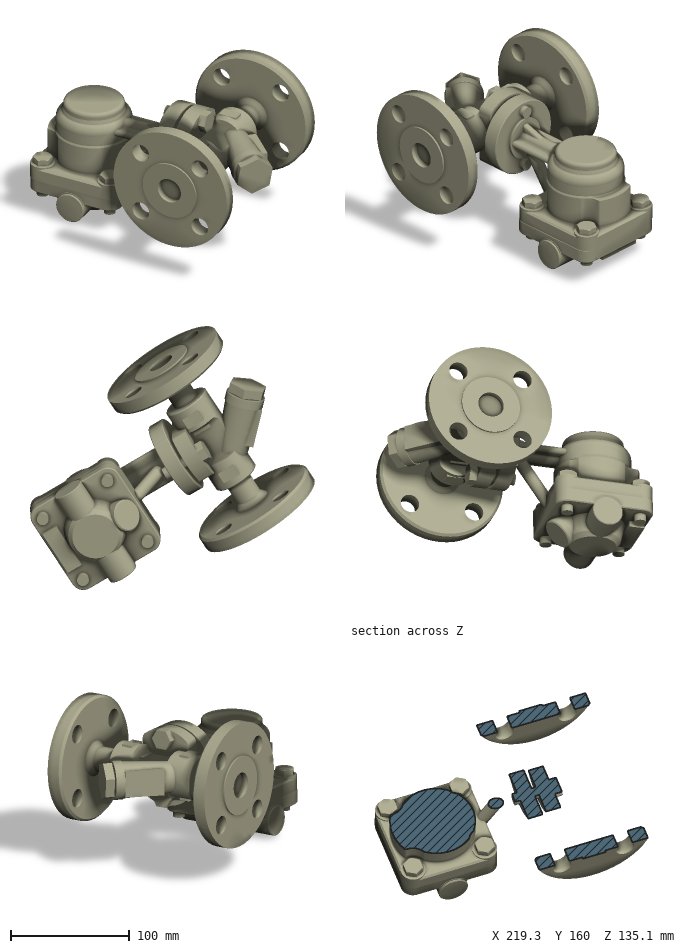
import cadquery as cq
import math


FACE_Y = 80.0
FLANGE_D = 108.0
FLANGE_THICKNESS = 13.0
FLANGE_CHAMFER = 2.0
RAISED_FACE_D = 50.8
RAISED_FACE_HEIGHT = 1.6
FLANGE_HOLE_D = 16.0
FLANGE_HOLE_OFFSET = 28.1
SOCKET_D = 22.2
SOCKET_DEPTH = 6.0
HUB_D = 30.8
HUB_LENGTH = 5.0
PIPE_D = 22.2

BODY_D = 39.0
BODY_HALF_LENGTH = 40.4
BODY_CHAMFER = 1.0
PAD_X = 16.0
PAD_Y = 10.0
PAD_CENTRE_Y = 28.4
PAD_CORNER = 1.0
PAD_RISE = 0.2
WAIST_HALF_Z = 9.8
WAIST_MAX_X = 17.0
WAIST_HALF_Y = 17.5
WAIST_FILLET = 5.5
WAIST_RIB_WIDTH = 2.8
WAIST_RIB_Y = -14.5
WAIST_RIB_RISE = 2.0

STRAINER_ANGLE = -45.0
STRAINER_ORIGIN_X = 27.4
STRAINER_START = -24.5
STRAINER_START_R = 13.4
COLLAR_START = 18.7
CONE_END_R = 15.8
COLLAR_R = 16.5
COLLAR_END = 26.4
PLUG_NECK_R = 12.5
PLUG_START = 27.5
PLUG_END = 35.2
PLUG_FLATS = 28.7
PLUG_TURN = 20.0
STRAINER_PAD_START = -14.8
STRAINER_PAD_WIDTH = 22.0
STRAINER_PAD_HEIGHT = 16.0

CONNECTOR_Y = -2.0
CONNECTOR_D = 67.0
CONNECTOR_X = (-40.0, -26.6)
GASKET_D = 35.0
ARM_COLLAR_X = -42.5
ARM_COLLAR_HALF_Z = 18.6
BODY_FLANGE_X = (-23.3, -10.0)
BODY_FLANGE_HALF_Y = 22.5
BODY_FLANGE_CORNER = 6.0
CONNECTOR_EDGE = 0.6
CONNECTOR_BOLT_Z = 25.5
CONNECTOR_BOLT_D = 10.0
CONNECTOR_BOLT_START_X = -44.5
CONNECTOR_HEAD_FLATS = 16.0
CONNECTOR_HEAD_END_X = -3.6

TRAP_X = -113.5
PLATE_SIZE = 85.0
PLATE_CORNER_R = 10.5
PLATE_TOP_Z = -36.7
PLATE_EDGE = 1.5
PLATE_BOTTOM_EDGE = 0.8
BOSS_TOP_Z = -35.4
SPLIT_Z = -48.8
PLATE_BOTTOM_Z = -60.4
BOLT_HEAD_FLATS = 15.0
HEAD_CHAMFER_DROP = 0.7
BOLT_HEAD_TOP_Z = -29.8
BOLT_END_D = 10.0
BOLT_END_Z = -66.6
TRAP_BODY_R = 33.2
TRAP_BODY_TOP_Z = -10.8
LOBE_R = 39.1
LOBE_HALF_WIDTH = 24.0
BOLT_CLEARANCE_R = 13.0
HOUSING_CORNER = 2.0
HOUSING_BASE_FILLET = 1.0
CAP_R = 32.3
CAP_LIP_Z = -9.1
CAP_TOP_Z = 17.9
CAP_SHOULDER_Z = 8.8
CAP_NECK_R = 26.0
CAP_NECK_FILLET = 3.2
CAP_SHOULDER_R = 27.5

COVER_Y = -1.4
BOWL_TOP_R = 26.8
BOWL_BOTTOM_R = 23.0
BOWL_BEND_Z = -75.0
BOWL_BOTTOM_Z = -79.0
BOWL_CORNER = 3.5
FOOT_WIDTH = 40.0
FOOT_BOTTOM_Z = -65.5
FOOT_X = (-39.5, -26.0)
PORT_D = 26.0
PORT_Z = -66.0
PORT_HALF_LENGTH = 44.5
PORT_EDGE = 0.6
PORT_COLLAR_D = 28.0
PORT_COLLAR_HALF_LENGTH = 43.0
NOSE_D = 27.0
NOSE_CHAMFER = 1.0
NOSE_FACE_X = -81.9
NOSE_FACE_Z = -72.23
NOSE_LENGTH = 25.0

ARM_TUBE_D = 15.2
ARM_WEB_WIDTH = 32.4
ARM_WEB_THICKNESS = 6.0
ARM_WEB_FILLET = 2.0
GUSSET_START_X = -62.5
GUSSET_TOP_Z = 14.7
GUSSET_WIDTH = 6.0
GUSSET_EDGE_R = 2.0
RETURN_PIPE_D = 10.8
RETURN_PIPE_ANGLE = 54.8
RETURN_PIPE_X = -69.2
RETURN_PIPE_Z = -36.0
RETURN_PIPE_UP = 32.0
RETURN_PIPE_DOWN = 28.0


def x_cylinder(diameter, start_x, end_x, y=CONNECTOR_Y, z=0.0):
    return cq.Workplane("YZ", origin=(start_x, y, z)).circle(diameter / 2).extrude(end_x - start_x)


def y_cylinder(diameter, half_length, x=0.0, z=0.0):
    return cq.Workplane("XZ", origin=(x, 0, z)).circle(diameter / 2).extrude(half_length, both=True)


def hex_corners(flats):
    """Diameter over the corners of a hexagon, from its size over the flats."""
    return flats / math.cos(math.radians(30))


def hex_head(flats, height):
    """Hexagon standing on the XY plane, its top corners turned down, with corners along Y."""
    corners = hex_corners(flats)
    head = cq.Workplane("XY").polygon(6, corners).extrude(height).rotate((0, 0, 0), (0, 0, 1), 90)
    turned = cq.Workplane("XY").circle(corners / 2).extrude(height)
    turned = turned.faces(">Z").chamfer(HEAD_CHAMFER_DROP, (corners - flats) / 2)
    return head.intersect(turned)


def pipeline_end():
    """Pipe and socket flange on the +Y side of the body."""
    back_y = FACE_Y - RAISED_FACE_HEIGHT - FLANGE_THICKNESS
    front_y = FACE_Y - RAISED_FACE_HEIGHT
    rim = FLANGE_D / 2
    half = (
        cq.Workplane("XY")
        .moveTo(0, BODY_HALF_LENGTH)
        .lineTo(PIPE_D / 2, BODY_HALF_LENGTH)
        .lineTo(PIPE_D / 2, back_y - HUB_LENGTH)
        .lineTo(HUB_D / 2, back_y)
        .lineTo(rim - FLANGE_CHAMFER, back_y)
        .lineTo(rim, back_y + FLANGE_CHAMFER)
        .lineTo(rim, front_y)
        .lineTo(RAISED_FACE_D / 2, front_y)
        .lineTo(RAISED_FACE_D / 2, FACE_Y)
        .lineTo(SOCKET_D / 2, FACE_Y)
        .lineTo(SOCKET_D / 2, FACE_Y - SOCKET_DEPTH)
        .lineTo(0, FACE_Y - SOCKET_DEPTH)
        .close()
        .revolve(360, (0, 0, 0), (0, 1, 0))
    )
    holes = (
        cq.Workplane("XZ", origin=(0, FACE_Y, 0))
        .rect(2 * FLANGE_HOLE_OFFSET, 2 * FLANGE_HOLE_OFFSET, forConstruction=True)
        .vertices()
        .circle(FLANGE_HOLE_D / 2)
        .extrude(FACE_Y - back_y)
    )
    return half.cut(holes)


def valve_body():
    """Round body with a flat-topped waist between its two ends."""
    body = y_cylinder(BODY_D, BODY_HALF_LENGTH).faces("<Y or >Y").chamfer(BODY_CHAMFER)
    for side in (-1, 1):
        recess = cq.Workplane("XY", origin=(0, CONNECTOR_Y, side * (WAIST_HALF_Z + BODY_D / 2))).box(
            2 * BODY_D, 2 * WAIST_HALF_Y, BODY_D
        )
        body = body.cut(recess.edges("|X").fillet(WAIST_FILLET))
    min_x = BODY_FLANGE_X[0]
    waist = cq.Workplane("XY", origin=((min_x + WAIST_MAX_X) / 2, CONNECTOR_Y, 0)).box(
        WAIST_MAX_X - min_x, 2 * WAIST_HALF_Y, 2 * WAIST_HALF_Z
    )
    body = body.union(waist)
    pad_height = BODY_D + 2 * PAD_RISE
    for y in (-PAD_CENTRE_Y, PAD_CENTRE_Y):
        pad = cq.Workplane("XY", origin=(0, y, 0)).box(PAD_X, PAD_Y, pad_height)
        body = body.union(pad.edges("|Z").fillet(PAD_CORNER))
    rib = cq.Workplane("XY", origin=(0, WAIST_RIB_Y, 0)).box(
        PAD_X, WAIST_RIB_WIDTH, 2 * (WAIST_HALF_Z + WAIST_RIB_RISE)
    )
    return body.union(rib)


def strainer_branch():
    """Tapered branch, collar and hexagonal plug, built along X and then turned."""
    branch = (
        cq.Workplane("XY")
        .moveTo(STRAINER_START, 0)
        .lineTo(STRAINER_START, STRAINER_START_R)
        .lineTo(COLLAR_START, CONE_END_R)
        .lineTo(COLLAR_START, COLLAR_R)
        .lineTo(COLLAR_END, COLLAR_R)
        .lineTo(COLLAR_END, PLUG_NECK_R)
        .lineTo(PLUG_START, PLUG_NECK_R)
        .lineTo(PLUG_START, 0)
        .close()
        .revolve(360, (0, 0, 0), (1, 0, 0))
    )
    plug = (
        cq.Workplane("YZ", origin=(PLUG_START, 0, 0))
        .polygon(6, hex_corners(PLUG_FLATS))
        .extrude(PLUG_END - PLUG_START)
        .rotate((0, 0, 0), (1, 0, 0), PLUG_TURN)
    )
    pad_length = COLLAR_START - STRAINER_PAD_START
    pad = cq.Workplane("XY", origin=(STRAINER_PAD_START + pad_length / 2, STRAINER_PAD_HEIGHT / 2, 0))
    pad = pad.box(pad_length, STRAINER_PAD_HEIGHT, STRAINER_PAD_WIDTH)
    branch = branch.union(plug).union(pad)
    return branch.rotate((0, 0, 0), (0, 0, 1), STRAINER_ANGLE).translate((STRAINER_ORIGIN_X, 0, 0))


def connector():
    """Bolted flange pair joining the arm to the valve body."""
    arm_flange = x_cylinder(CONNECTOR_D, *CONNECTOR_X).edges().chamfer(CONNECTOR_EDGE)
    gasket = x_cylinder(GASKET_D, CONNECTOR_X[0], BODY_FLANGE_X[0])
    collar = (
        cq.Workplane("YZ", origin=(ARM_COLLAR_X, CONNECTOR_Y, 0))
        .ellipse(GASKET_D / 2, ARM_COLLAR_HALF_Z)
        .extrude(CONNECTOR_X[0] - ARM_COLLAR_X)
    )
    flat_sides = cq.Workplane("XY", origin=(0, CONNECTOR_Y, 0)).box(
        2 * CONNECTOR_D, 2 * BODY_FLANGE_HALF_Y, 2 * CONNECTOR_D
    )
    body_flange = x_cylinder(CONNECTOR_D, *BODY_FLANGE_X).intersect(flat_sides)
    body_flange = body_flange.edges("|X").fillet(BODY_FLANGE_CORNER)
    joint = arm_flange.union(collar).union(gasket).union(body_flange)
    for z in (-CONNECTOR_BOLT_Z, CONNECTOR_BOLT_Z):
        shank = x_cylinder(CONNECTOR_BOLT_D, CONNECTOR_BOLT_START_X, BODY_FLANGE_X[1], z=z)
        head = (
            cq.Workplane("YZ", origin=(BODY_FLANGE_X[1], CONNECTOR_Y, z))
            .polygon(6, hex_corners(CONNECTOR_HEAD_FLATS))
            .extrude(CONNECTOR_HEAD_END_X - BODY_FLANGE_X[1])
        )
        joint = joint.union(shank).union(head)
    return joint


def trap_plane(z):
    return cq.Workplane("XY", origin=(TRAP_X, CONNECTOR_Y, z))


def bolt_points(plane):
    pitch = PLATE_SIZE - 2 * PLATE_CORNER_R
    return plane.rect(pitch, pitch, forConstruction=True).vertices()


def lower_plate():
    """Square plate of the bottom cover."""
    plate = cq.Workplane("XY", origin=(TRAP_X, COVER_Y, PLATE_BOTTOM_Z)).rect(PLATE_SIZE, PLATE_SIZE)
    plate = plate.extrude(SPLIT_Z - PLATE_BOTTOM_Z).edges("|Z").fillet(PLATE_CORNER_R)
    return plate.faces("<Z").edges().chamfer(PLATE_BOTTOM_EDGE)


def trap_housing():
    """Square plate carrying the cylindrical housing and its side lobe, hollowed around the bolts."""
    height = TRAP_BODY_TOP_Z - SPLIT_Z
    plate = trap_plane(SPLIT_Z).rect(PLATE_SIZE, PLATE_SIZE).extrude(PLATE_TOP_Z - SPLIT_Z)
    plate = plate.edges("|Z").fillet(PLATE_CORNER_R).faces(">Z").edges().chamfer(PLATE_EDGE)
    barrel = trap_plane(SPLIT_Z).circle(TRAP_BODY_R).extrude(height)
    lobe_side = trap_plane(SPLIT_Z).center(-LOBE_R / 2, 0).rect(LOBE_R, 2 * LOBE_HALF_WIDTH)
    lobe = trap_plane(SPLIT_Z).circle(LOBE_R).extrude(height).intersect(lobe_side.extrude(height))
    clearance = bolt_points(trap_plane(SPLIT_Z)).circle(BOLT_CLEARANCE_R).extrude(height)
    barrel = barrel.union(lobe).cut(clearance).edges("|Z").fillet(HOUSING_CORNER)
    reach = (TRAP_BODY_R + LOBE_R) / 2
    base_edges = cq.selectors.BoxSelector(
        (TRAP_X - reach, CONNECTOR_Y - reach, PLATE_TOP_Z - HOUSING_BASE_FILLET),
        (TRAP_X + reach, CONNECTOR_Y + reach, PLATE_TOP_Z + HOUSING_BASE_FILLET),
    )
    return plate.union(barrel).edges(base_edges).fillet(HOUSING_BASE_FILLET)


def trap_bolts():
    """Corner bosses with hexagonal bolts through both plates."""
    bosses = bolt_points(trap_plane(SPLIT_Z)).circle(PLATE_CORNER_R).extrude(BOSS_TOP_Z - SPLIT_Z)
    head = hex_head(BOLT_HEAD_FLATS, BOLT_HEAD_TOP_Z - BOSS_TOP_Z)
    heads = bolt_points(trap_plane(BOSS_TOP_Z)).eachpoint(lambda place: head.val().moved(place))
    ends = bolt_points(trap_plane(BOLT_END_Z)).circle(BOLT_END_D / 2).extrude(SPLIT_Z - BOLT_END_Z)
    return bosses.union(heads).union(ends)


def trap_cap():
    """Domed cap with a narrower rounded top and a flared lip."""
    bend = CAP_NECK_FILLET * (1 - math.sqrt(0.5))
    dome_depth = CAP_SHOULDER_Z
    dome_width = CAP_R - CAP_SHOULDER_R
    return (
        cq.Workplane("XZ")
        .moveTo(0, TRAP_BODY_TOP_Z)
        .lineTo(TRAP_BODY_R, TRAP_BODY_TOP_Z)
        .lineTo(CAP_R, CAP_LIP_Z)
        .lineTo(CAP_R, 0)
        .threePointArc(
            (CAP_R - 0.25 * dome_width, 0.62 * dome_depth),
            (CAP_SHOULDER_R, CAP_SHOULDER_Z),
        )
        .lineTo(CAP_NECK_R, CAP_SHOULDER_Z + CAP_NECK_FILLET)
        .lineTo(CAP_NECK_R, CAP_TOP_Z - CAP_NECK_FILLET)
        .threePointArc(
            (CAP_NECK_R - bend, CAP_TOP_Z - bend),
            (CAP_NECK_R - CAP_NECK_FILLET, CAP_TOP_Z),
        )
        .lineTo(0, CAP_TOP_Z)
        .close()
        .revolve(360, (0, 0, 0), (0, 1, 0))
        .translate((TRAP_X, CONNECTOR_Y, 0))
    )


def bottom_cover():
    """Bowl with two side ports, a foot below the lobe and an inclined nose."""
    bowl = (
        cq.Workplane("XZ")
        .moveTo(0, PLATE_BOTTOM_Z)
        .lineTo(BOWL_TOP_R, PLATE_BOTTOM_Z)
        .lineTo(BOWL_BOTTOM_R, BOWL_BEND_Z)
        .lineTo(BOWL_BOTTOM_R - BOWL_CORNER, BOWL_BOTTOM_Z)
        .lineTo(0, BOWL_BOTTOM_Z)
        .close()
        .revolve(360, (0, 0, 0), (0, 1, 0))
        .translate((TRAP_X, COVER_Y, 0))
    )
    ports = y_cylinder(PORT_D, PORT_HALF_LENGTH, TRAP_X, PORT_Z).edges().chamfer(PORT_EDGE)
    collars = y_cylinder(PORT_COLLAR_D, PORT_COLLAR_HALF_LENGTH, TRAP_X, PORT_Z)
    below_plate = cq.Workplane("XY", origin=(TRAP_X, 0, PLATE_BOTTOM_Z - PLATE_SIZE / 2)).box(
        PLATE_SIZE, 2 * PLATE_SIZE, PLATE_SIZE
    )
    ports = ports.union(collars.cut(below_plate)).translate((0, COVER_Y, 0))
    foot_length = FOOT_X[1] - FOOT_X[0]
    foot = trap_plane(FOOT_BOTTOM_Z).center(FOOT_X[0] + foot_length / 2, 0).rect(foot_length, FOOT_WIDTH)
    foot = foot.extrude(SPLIT_Z - FOOT_BOTTOM_Z)
    face = cq.Plane(origin=(NOSE_FACE_X, COVER_Y, NOSE_FACE_Z), xDir=(0, 1, 0), normal=(-1, 0, 1))
    nose = cq.Workplane(face).circle(NOSE_D / 2).extrude(NOSE_LENGTH)
    nose = nose.faces("<(-1, 0, 1)").chamfer(NOSE_CHAMFER)
    return lower_plate().union(bowl).union(ports).union(foot).union(nose)


def arm():
    """Tube with side webs and a gusset, and the inclined return pipe below it."""
    end_x = CONNECTOR_X[0]
    tube = x_cylinder(ARM_TUBE_D, TRAP_X, end_x)
    web = (
        cq.Workplane("YZ", origin=(TRAP_X, CONNECTOR_Y, 0))
        .slot2D(ARM_WEB_WIDTH, ARM_WEB_THICKNESS)
        .extrude(end_x - TRAP_X)
    )
    grooves = cq.selectors.BoxSelector(
        (TRAP_X, CONNECTOR_Y - ARM_TUBE_D / 2, -ARM_TUBE_D / 2),
        (end_x, CONNECTOR_Y + ARM_TUBE_D / 2, ARM_TUBE_D / 2),
    )
    beam = tube.union(web).edges("|X").edges(grooves).fillet(ARM_WEB_FILLET)
    gusset = (
        cq.Workplane("XZ", origin=(0, CONNECTOR_Y, 0))
        .moveTo(GUSSET_START_X, 0)
        .lineTo(GUSSET_START_X, ARM_TUBE_D / 2 - 0.2)
        .lineTo(end_x, GUSSET_TOP_Z)
        .lineTo(end_x, 0)
        .close()
        .extrude(GUSSET_WIDTH / 2, both=True)
    )
    gusset = gusset.edges(">Y or <Y").edges("not(<X or >X or <Z)").fillet(GUSSET_EDGE_R)
    angle = math.radians(RETURN_PIPE_ANGLE)
    direction = cq.Vector(math.cos(angle), 0, math.sin(angle))
    start = cq.Vector(RETURN_PIPE_X, CONNECTOR_Y, RETURN_PIPE_Z) - direction * RETURN_PIPE_DOWN
    plane = cq.Plane(origin=start, xDir=(0, 1, 0), normal=direction)
    pipe = cq.Workplane(plane).circle(RETURN_PIPE_D / 2).extrude(RETURN_PIPE_DOWN + RETURN_PIPE_UP)
    return beam.union(gusset).union(pipe)


near_end = pipeline_end()
far_end = near_end.mirror("XZ")
valve = valve_body().union(near_end).union(far_end).union(strainer_branch())
trap = trap_housing().union(trap_cap()).union(bottom_cover()).union(trap_bolts())
result = trap.union(arm()).union(connector()).union(valve)